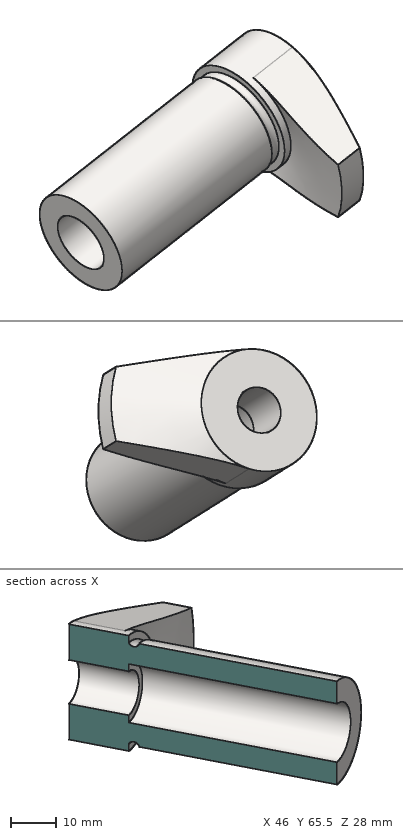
import cadquery as cq
import math

total_length = 65.5
overall_width = 46.0

head_diameter = 28.0
head_length = 14.7
head_radius = head_diameter / 2

shank_diameter = 25.0
shank_radius = shank_diameter / 2
groove_width = 2.5
groove_depth = 1.0
groove_head_step = 0.25

bore_diameter = 14.0
hole_diameter = 10.5

arm_tip_radius = overall_width - head_radius
arm_side_angle = math.radians(10.4)
arm_tip_back = 8.4
arm_root_front = 12.65
arm_tip_front = 15.4


def cylinder_along_y(radius, start_depth, end_depth):
    """Cylinder on the part axis between two depths below the back face."""
    return (
        cq.Workplane("XZ", origin=(0, -start_depth, 0))
        .circle(radius)
        .extrude(end_depth - start_depth)
    )


def make_shank():
    """Shank with a rounded relief groove directly under the head."""
    groove_end = head_length + groove_width
    return (
        cq.Workplane("XY")
        .moveTo(0, -head_length)
        .lineTo(shank_radius - groove_head_step, -head_length)
        .threePointArc(
            (shank_radius - groove_depth, -head_length - groove_width / 2),
            (shank_radius, -groove_end),
        )
        .lineTo(shank_radius, -total_length)
        .lineTo(0, -total_length)
        .close()
        .revolve(360, (0, 0, 0), (0, 1, 0))
    )


def make_arm():
    """Revolved lever profile trimmed by the two tapered side faces."""
    reach = arm_tip_radius - head_radius
    drop = arm_tip_front - arm_root_front
    arc_radius = (reach**2 + drop**2) / (2 * drop)
    arc_mid_drop = arc_radius - math.sqrt(arc_radius**2 - (reach / 2) ** 2)
    swept_profile = (
        cq.Workplane("XY")
        .lineTo(head_radius, 0)
        .lineTo(arm_tip_radius, -arm_tip_back)
        .lineTo(arm_tip_radius, -arm_tip_front)
        .threePointArc(
            (head_radius + reach / 2, -arm_tip_front + arc_mid_drop),
            (head_radius, -arm_root_front),
        )
        .lineTo(0, -arm_root_front)
        .close()
        .revolve(360, (0, 0, 0), (0, 1, 0))
    )

    tangent_x = head_radius * math.sin(arm_side_angle)
    tangent_z = head_radius * math.cos(arm_side_angle)
    end_x = overall_width
    end_z = tangent_z - (end_x - tangent_x) * math.tan(arm_side_angle)
    outline = (
        cq.Workplane("XZ")
        .moveTo(0, 0)
        .lineTo(tangent_x, tangent_z)
        .lineTo(end_x, end_z)
        .lineTo(end_x, -end_z)
        .lineTo(tangent_x, -tangent_z)
        .close()
        .extrude(total_length)
    )
    return swept_profile.intersect(outline)


head = cylinder_along_y(head_radius, 0, head_length)
body = head.union(make_shank()).union(make_arm())

bore = cylinder_along_y(bore_diameter / 2, head_length, total_length)
hole = cylinder_along_y(hole_diameter / 2, 0, total_length)
result = body.cut(bore).cut(hole)